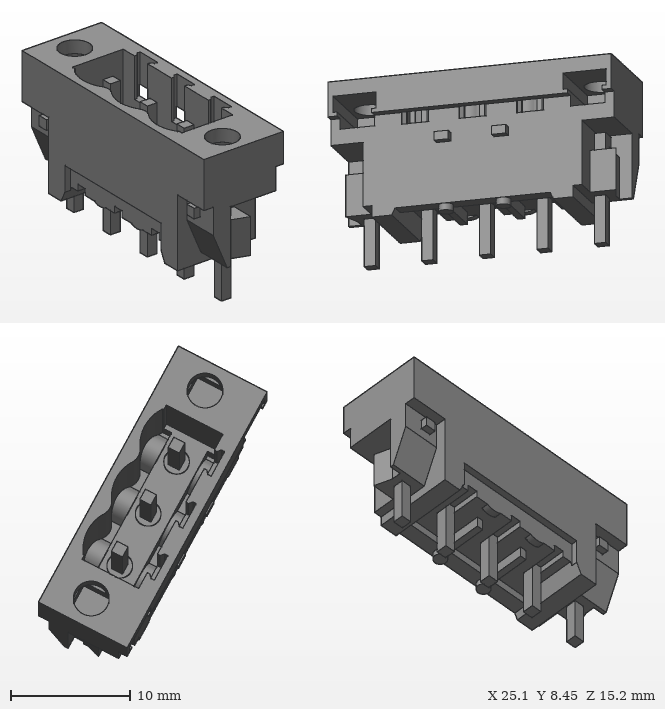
import cadquery as cq
import math


LENGTH = 25.05
DEPTH = 8.45
HEIGHT = 12.02
BODY_BACK = 7.64
OVERHANG_BOTTOM = 8.95
HALF_LENGTH = LENGTH / 2

PITCH = 5.08
PIN_WIDTH = 1.0
PIN_BOTTOM = -3.18
CONTACT_X = [-PITCH, 0.0, PITCH]
CONTACT_DEPTH = 1.05
CONTACT_Y = 3.78
CONTACT_TOP = 11.1
MOUNT_X = 2 * PITCH
MOUNT_Y = 3.8
MOUNT_TOP = 6.5
MOUNT_FRONT = 0.4
GAP_X = [-PITCH / 2, PITCH / 2]

CAVITY_HALF_LENGTH = 7.54
CAVITY_FRONT = 1.5
CAVITY_BACK = 6.89
CAVITY_FLOOR = 5.25
WELL_RADIUS = 1.08
WELL_DEPTH = 0.25

TROUGH_HALF_LENGTH = 7.09
TROUGH_FLOOR = 3.68
FRONT_TROUGH_BACK = 2.25
BACK_TROUGH_FRONT = 5.65
SCALLOP_FRONT = 0.75
SCALLOP_RADIUS = 3.5
SCALLOP_HALF_WIDTH = 1.73
HUMP_RADIUS = 1.5
HUMP_ANGLE = math.radians(57)
HUMP_HALF_WIDTH = 1.68

KEYWAY_FLOOR = 7.91
KEYWAY_BACK = 7.7
KEYWAY_NARROW = 0.9
KEYWAY_WIDE = 1.2
KEYWAY_TAPER_START = 7.14
KEYWAY_TAPER_END = 7.4

TAB_WIDTH = 1.25
TAB_TOP = 6.74
TAB_BOTTOM = 5.98
TAB_BACK = 8.35

SCREW_RADIUS = 1.5
SCREW_Y = 3.78
NUT_CEILING = 10.72
NUT_LEDGE = 9.3
NUT_FLOOR = 8.01
NUT_UPPER_HALF = 1.9
NUT_LOWER_HALF = 1.53

CORNER_WIDTH = 3.63
CORNER_TOP = 7.19
PLATE_FRONT = 1.0
PLATE_BACK = 2.83
PLATE_BOTTOM = 1.0
SLOPE_TOP = 4.5
SLOPE_BACK = 2.48
BACK_CORNER_TOP = 6.65
BLOCK_TOP = 4.68
BLOCK_BACK = 5.4
BLOCK_BEND_Y = 3.73
BLOCK_BACK_INSET = 0.58
BLOCK_FRONT_INSET = 1.13

RECESS_HALF_LENGTH = 6.6
RECESS_TOP = 3.58
RECESS_DEPTH = 0.58
CHANNEL_TOP = 1.4
CHANNEL_TOP_HALF = 6.44
CHANNEL_BOTTOM_HALF = 7.14
SKIRT_FRONT = 6.25
SKIRT_BOTTOM = 0.6
PIN_SLOT_TOP = 2.05
LIP_HALF_WIDTH = 0.78
LIP_DEPTH = 0.2
LIP_BACK = 1.25
RIB_WIDTH = 0.63
RIB_FRONT = 2.25
RIB_BOTTOM = 0.33
FOOT_RADIUS = 0.63


def box(x0, x1, y0, y1, z0, z1):
    return cq.Workplane("XY").box(x1 - x0, y1 - y0, z1 - z0, centered=False).translate((x0, y0, z0))


def extrude_up(outline, z0, z1):
    """Extrude a closed outline drawn in plan from z0 to z1."""
    return outline.extrude(z1 - z0).translate((0, 0, z0))


def extrude_back(outline, y0, y1):
    """Extrude a closed outline drawn on the XZ plane from y0 to y1."""
    return outline.extrude(-(y1 - y0)).translate((0, y0, 0))


def both_ends(left):
    """The given left-end shape together with its mirror image at the right end."""
    return left.union(left.mirror("YZ"))


def make_shell():
    outline = (
        cq.Workplane("YZ")
        .moveTo(0, 0)
        .lineTo(BODY_BACK, 0)
        .lineTo(BODY_BACK, OVERHANG_BOTTOM)
        .lineTo(DEPTH, OVERHANG_BOTTOM)
        .lineTo(DEPTH, HEIGHT)
        .lineTo(0, HEIGHT)
        .close()
    )
    return outline.extrude(HALF_LENGTH, both=True)


def scallop_y(offset):
    """Front edge of a scallop at a distance from its pin along X."""
    return SCALLOP_FRONT + SCALLOP_RADIUS - math.sqrt(SCALLOP_RADIUS**2 - offset**2)


def make_scallop_outline():
    end_y = scallop_y(TROUGH_HALF_LENGTH - PITCH)
    join_y = scallop_y(SCALLOP_HALF_WIDTH)
    outline = (
        cq.Workplane("XY")
        .moveTo(-TROUGH_HALF_LENGTH, FRONT_TROUGH_BACK)
        .lineTo(-TROUGH_HALF_LENGTH, end_y)
    )
    for x in CONTACT_X:
        if x == CONTACT_X[-1]:
            scallop_end = (TROUGH_HALF_LENGTH, end_y)
        else:
            scallop_end = (x + SCALLOP_HALF_WIDTH, join_y)
        outline = outline.threePointArc((x, SCALLOP_FRONT), scallop_end)
        if x != CONTACT_X[-1]:
            next_start = (x + PITCH - SCALLOP_HALF_WIDTH, join_y)
            outline = outline.threePointArc((x + PITCH / 2, CAVITY_FRONT), next_start)
    return outline.lineTo(TROUGH_HALF_LENGTH, FRONT_TROUGH_BACK).close()


def make_hump(x):
    """Rounded ridge along Y with flat, steep flanks, standing on the trough floor."""
    tangent_x = HUMP_RADIUS * math.sin(HUMP_ANGLE)
    tangent_z = TROUGH_FLOOR + (HUMP_HALF_WIDTH - tangent_x) * math.tan(HUMP_ANGLE)
    crest_z = tangent_z + HUMP_RADIUS * (1 - math.cos(HUMP_ANGLE))
    outline = (
        cq.Workplane("XZ")
        .moveTo(x - HUMP_HALF_WIDTH, TROUGH_FLOOR)
        .lineTo(x - tangent_x, tangent_z)
        .threePointArc((x, crest_z), (x + tangent_x, tangent_z))
        .lineTo(x + HUMP_HALF_WIDTH, TROUGH_FLOOR)
        .close()
    )
    return extrude_back(outline, 0, CAVITY_BACK)


def make_cavity():
    cavity = box(-CAVITY_HALF_LENGTH, CAVITY_HALF_LENGTH, CAVITY_FRONT, CAVITY_BACK, CAVITY_FLOOR, HEIGHT)
    troughs = extrude_up(make_scallop_outline(), TROUGH_FLOOR, HEIGHT)
    troughs = troughs.union(
        box(-TROUGH_HALF_LENGTH, TROUGH_HALF_LENGTH, BACK_TROUGH_FRONT, CAVITY_BACK, TROUGH_FLOOR, HEIGHT)
    )
    for x in CONTACT_X:
        troughs = troughs.cut(make_hump(x))
    cavity = cavity.union(troughs)
    for x in CONTACT_X:
        well = cq.Workplane("XY").center(x, CONTACT_Y).circle(WELL_RADIUS)
        cavity = cavity.union(extrude_up(well, CAVITY_FLOOR - WELL_DEPTH, HEIGHT))
        cavity = cavity.union(make_keyway(x))
    return cavity


def make_keyway(x):
    outline = (
        cq.Workplane("XY")
        .moveTo(x - KEYWAY_NARROW, CAVITY_BACK)
        .lineTo(x - KEYWAY_NARROW, KEYWAY_TAPER_START)
        .lineTo(x - KEYWAY_WIDE, KEYWAY_TAPER_END)
        .lineTo(x - KEYWAY_WIDE, KEYWAY_BACK)
        .lineTo(x + KEYWAY_WIDE, KEYWAY_BACK)
        .lineTo(x + KEYWAY_WIDE, KEYWAY_TAPER_END)
        .lineTo(x + KEYWAY_NARROW, KEYWAY_TAPER_START)
        .lineTo(x + KEYWAY_NARROW, CAVITY_BACK)
        .close()
    )
    return extrude_up(outline, KEYWAY_FLOOR, HEIGHT)


def make_screw_hole(x):
    hole = extrude_up(cq.Workplane("XY").center(x, SCREW_Y).circle(SCREW_RADIUS), NUT_LEDGE, HEIGHT)
    upper_front = SCREW_Y - NUT_UPPER_HALF
    lower_front = SCREW_Y - NUT_LOWER_HALF
    upper = box(x - NUT_UPPER_HALF, x + NUT_UPPER_HALF, upper_front, DEPTH, NUT_LEDGE, NUT_CEILING)
    lower = box(x - NUT_LOWER_HALF, x + NUT_LOWER_HALF, lower_front, DEPTH, NUT_FLOOR, NUT_LEDGE)
    return hole.union(upper).union(lower)


def make_corner_cut():
    """Material removed from the lower left end, leaving a sloped plate and the pin block."""
    end_x = -HALF_LENGTH
    plate_inner_x = end_x + CORNER_WIDTH
    pin_wall_x = -MOUNT_X + PIN_WIDTH / 2
    front_outline = (
        cq.Workplane("YZ")
        .moveTo(0, 0)
        .lineTo(0, CORNER_TOP)
        .lineTo(PLATE_FRONT, CORNER_TOP)
        .lineTo(PLATE_FRONT, SLOPE_TOP)
        .lineTo(SLOPE_BACK, PLATE_BOTTOM)
        .lineTo(BODY_BACK, PLATE_BOTTOM)
        .lineTo(BODY_BACK, 0)
        .close()
    )
    front = front_outline.extrude(CORNER_WIDTH).translate((end_x, 0, 0))
    back = box(end_x, pin_wall_x, PLATE_BACK, BODY_BACK, 0, BACK_CORNER_TOP)
    block_outline = (
        cq.Workplane("XY")
        .moveTo(plate_inner_x, PLATE_BACK)
        .lineTo(end_x + BLOCK_FRONT_INSET, PLATE_BACK)
        .lineTo(end_x + BLOCK_FRONT_INSET, BLOCK_BEND_Y)
        .lineTo(end_x + BLOCK_BACK_INSET, BLOCK_BACK)
        .lineTo(plate_inner_x, BLOCK_BACK)
        .close()
    )
    block = extrude_up(block_outline, PLATE_BOTTOM, BLOCK_TOP)
    return front.union(back.cut(block))


def make_underside_cut():
    """Front recess, the channel between the feet and the slots in front of the pins."""
    recess = box(-RECESS_HALF_LENGTH, RECESS_HALF_LENGTH, 0, RECESS_DEPTH, 0, RECESS_TOP)
    channel_outline = (
        cq.Workplane("XZ")
        .moveTo(-CHANNEL_BOTTOM_HALF, 0)
        .lineTo(-CHANNEL_TOP_HALF, CHANNEL_TOP)
        .lineTo(CHANNEL_TOP_HALF, CHANNEL_TOP)
        .lineTo(CHANNEL_BOTTOM_HALF, 0)
        .close()
    )
    channel = extrude_back(channel_outline, 0, BODY_BACK)
    skirt = box(-HALF_LENGTH, HALF_LENGTH, SKIRT_FRONT, BODY_BACK, SKIRT_BOTTOM, CHANNEL_TOP)
    cut = channel.cut(skirt).union(recess)
    half_width = PIN_WIDTH / 2
    for x in CONTACT_X:
        cut = cut.union(box(x - half_width, x + half_width, 0, CONTACT_Y, 0, PIN_SLOT_TOP))
    return cut


def make_gap_support(x):
    """Rounded lip, rib and round foot under the floor, midway between two pins."""
    lip_outline = (
        cq.Workplane("XZ")
        .moveTo(x - LIP_HALF_WIDTH, CHANNEL_TOP)
        .threePointArc((x, CHANNEL_TOP - LIP_DEPTH), (x + LIP_HALF_WIDTH, CHANNEL_TOP))
        .close()
    )
    lip = extrude_back(lip_outline, RECESS_DEPTH, LIP_BACK)
    half_width = RIB_WIDTH / 2
    rib = box(x - half_width, x + half_width, RIB_FRONT, SKIRT_FRONT, RIB_BOTTOM, CHANNEL_TOP)
    foot_y = BODY_BACK - FOOT_RADIUS
    foot = extrude_up(cq.Workplane("XY").center(x, foot_y).circle(FOOT_RADIUS), 0, SKIRT_BOTTOM)
    return lip.union(rib).union(foot)


def make_tab(x):
    half_width = TAB_WIDTH / 2
    return box(x - half_width, x + half_width, CAVITY_BACK, TAB_BACK, TAB_BOTTOM, TAB_TOP)


def make_contact_pin(x):
    half_width = PIN_WIDTH / 2
    half_depth = CONTACT_DEPTH / 2
    front = CONTACT_Y - half_depth
    back = CONTACT_Y + half_depth
    return box(x - half_width, x + half_width, front, back, PIN_BOTTOM, CONTACT_TOP)


def make_mounting_pin(x):
    """L-shaped pin: a vertical leg with a forward leg at its top."""
    half_width = PIN_WIDTH / 2
    x0 = x - half_width
    x1 = x + half_width
    back = MOUNT_Y + half_width
    vertical = box(x0, x1, MOUNT_Y - half_width, back, PIN_BOTTOM, MOUNT_TOP)
    forward = box(x0, x1, MOUNT_FRONT, back, MOUNT_TOP - PIN_WIDTH, MOUNT_TOP)
    return vertical.union(forward)


def make_housing(pins):
    housing = make_shell().cut(make_cavity())
    housing = housing.cut(both_ends(make_screw_hole(-MOUNT_X)))
    housing = housing.cut(both_ends(make_corner_cut()))
    housing = housing.cut(make_underside_cut())
    for x in GAP_X:
        housing = housing.union(make_gap_support(x)).union(make_tab(x))
    for pin in pins:
        housing = housing.cut(pin)
    return housing


contact_pins = [make_contact_pin(x) for x in CONTACT_X]
mounting_pins = [make_mounting_pin(x) for x in (-MOUNT_X, MOUNT_X)]
all_pins = contact_pins + mounting_pins
housing = make_housing(all_pins)

result = cq.Compound.makeCompound([housing.solids().val(), *[pin.solids().val() for pin in all_pins]])